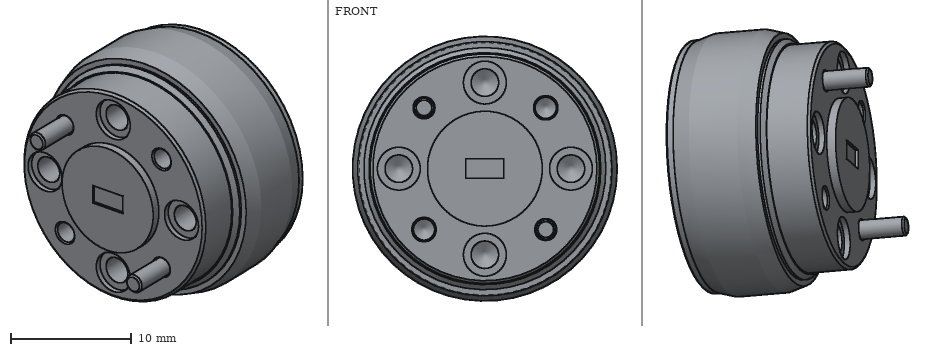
import cadquery as cq
import math


nut_radius = 11.0
nut_end_radius = 10.55
nut_rear = 0.62
nut_front = 7.8
nut_taper_length = 1.5

rim_radius = 10.57
rim_chamfer = 0.1
hub_radius = 9.52
hub_front = 12.18
hub_chamfer = 0.22
boss_radius = 4.77
boss_height = 0.77
boss_front = hub_front + boss_height

recess_width = 3.17
recess_height = 1.63
recess_depth = 0.25

ring_radius = 10.05
ring_length = 0.64
ring_chamfer = 0.42

pattern_radius = 7.15
screw_angles = [0, 90, 180, 270]
socket_angles = [45, 225]
pin_angles = [135, 315]
drill_point_angle = 118

screw_hole_radius = 1.15
screw_hole_depth = 6.6
counterbore_radius = 1.78
counterbore_depth = 0.5

socket_radius = 0.88
socket_depth = 4.4
socket_chamfer = 0.13

pin_diameter = 1.6
pin_radius = pin_diameter / 2
pin_tip = 16.05
pin_embedded = 4.4
pin_chamfer = 0.15
pin_hole_chamfer = 0.1


def revolve_profile(points):
    """Revolve (radius, depth) points around the Y axis."""
    outline = [(radius, -depth) for radius, depth in points]
    return cq.Workplane("XY").polyline(outline).close().revolve(360, (0, 0, 0), (0, 1, 0))


def on_pattern(shape, angle):
    """Move a shape from the axis out to the hole circle at the given angle."""
    turn = math.radians(angle)
    return shape.translate((pattern_radius * math.cos(turn), 0, pattern_radius * math.sin(turn)))


def drill(radius, depth):
    """Cutter for a blind hole in the hub face, with a conical bottom below the given depth."""
    point_length = radius / math.tan(math.radians(drill_point_angle / 2))
    return revolve_profile([
        (0, hub_front),
        (radius, hub_front),
        (radius, hub_front - depth),
        (0, hub_front - depth - point_length),
    ])


def countersink(radius, chamfer):
    """Cutter for a 45 degree chamfer on the mouth of a hole in the hub face."""
    return revolve_profile([
        (0, hub_front),
        (radius + chamfer, hub_front),
        (radius, hub_front - chamfer),
        (0, hub_front - chamfer),
    ])


def cylinder(radius, rear, front):
    """Plain cylinder on the axis between two depths."""
    return revolve_profile([(0, rear), (radius, rear), (radius, front), (0, front)])


def make_flange_blank():
    return revolve_profile([
        (0, 0),
        (rim_radius - rim_chamfer, 0),
        (rim_radius, rim_chamfer),
        (rim_radius, nut_rear),
        (hub_radius, nut_rear),
        (hub_radius, hub_front - hub_chamfer),
        (hub_radius - hub_chamfer, hub_front),
        (boss_radius, hub_front),
        (boss_radius, boss_front),
        (0, boss_front),
    ])


def make_recess():
    return cq.Workplane("XY").box(recess_width, recess_depth, recess_height).translate(
        (0, recess_depth / 2 - boss_front, 0)
    )


def make_flange():
    flange = make_flange_blank().cut(make_recess())

    counterbore = cylinder(counterbore_radius, hub_front - counterbore_depth, hub_front)
    screw_hole = drill(screw_hole_radius, screw_hole_depth).union(counterbore)
    for angle in screw_angles:
        flange = flange.cut(on_pattern(screw_hole, angle))

    socket = drill(socket_radius, socket_depth).union(countersink(socket_radius, socket_chamfer))
    for angle in socket_angles:
        flange = flange.cut(on_pattern(socket, angle))

    pin_hole = cylinder(pin_radius, hub_front - pin_embedded, hub_front).union(
        countersink(pin_radius, pin_hole_chamfer)
    )
    for angle in pin_angles:
        flange = flange.cut(on_pattern(pin_hole, angle))
    return flange


def make_nut():
    return revolve_profile([
        (hub_radius, nut_rear),
        (nut_end_radius, nut_rear),
        (nut_radius, nut_rear + nut_taper_length),
        (nut_radius, nut_front - nut_taper_length),
        (nut_end_radius, nut_front),
        (hub_radius, nut_front),
    ])


def make_retaining_ring():
    ring_front = nut_front + ring_length
    return revolve_profile([
        (hub_radius, nut_front),
        (ring_radius, nut_front),
        (ring_radius, ring_front - ring_chamfer),
        (ring_radius - ring_chamfer, ring_front),
        (hub_radius, ring_front),
    ])


def make_pin():
    pin_rear = hub_front - pin_embedded
    return revolve_profile([
        (0, pin_rear),
        (pin_radius, pin_rear),
        (pin_radius, pin_tip - pin_chamfer),
        (pin_radius - pin_chamfer, pin_tip),
        (0, pin_tip),
    ])


flange = make_flange()
nut = make_nut()
retaining_ring = make_retaining_ring()
pins = [on_pattern(make_pin(), angle) for angle in pin_angles]

result = cq.Compound.makeCompound([
    flange.val(),
    nut.val(),
    retaining_ring.val(),
    *[pin.val() for pin in pins],
])